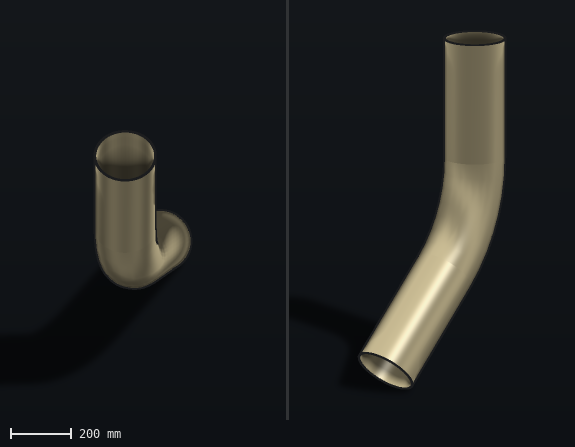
import cadquery as cq
import math

overall_height = 1125.0
outer_diameter = 204.0
inner_diameter = 197.0
straight_length = 405.0
bend_angle = 45.0

outer_radius = outer_diameter / 2
sin_bend = math.sin(math.radians(bend_angle))
cos_bend = math.cos(math.radians(bend_angle))
bend_height = overall_height - straight_length * (1 + cos_bend) - outer_radius * sin_bend
bend_radius = bend_height / sin_bend

bend_top_z = overall_height - straight_length
half_angle = math.radians(bend_angle / 2)
bend_middle = (
    bend_radius * (1 - math.cos(half_angle)),
    bend_top_z - bend_radius * math.sin(half_angle),
)
bend_end = (bend_radius * (1 - cos_bend), bend_top_z - bend_height)
lower_end = (
    bend_end[0] + straight_length * sin_bend,
    bend_end[1] - straight_length * cos_bend,
)
centreline = (
    cq.Workplane("YZ")
    .moveTo(0, overall_height)
    .lineTo(0, bend_top_z)
    .threePointArc(bend_middle, bend_end)
    .lineTo(*lower_end)
)

result = (
    cq.Workplane("XY", origin=(0, 0, overall_height))
    .circle(outer_radius)
    .circle(inner_diameter / 2)
    .sweep(centreline)
)